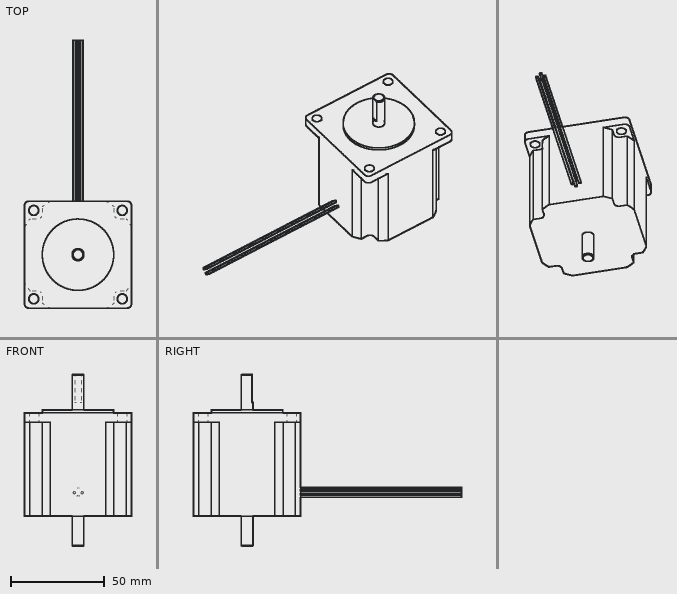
import cadquery as cq
import math

INCH = 25.4

width = 2.25 * INCH
half_width = width / 2
motor_length = 2.17 * INCH
flange_thickness = 0.2 * INCH
flange_corner_radius = 0.1 * INCH
hole_diameter = 0.2 * INCH
hole_spacing = 47.14
boss_diameter = 1.5 * INCH
boss_height = 0.06 * INCH

flat_half_length = 14.8
corner_arc_radius = 1.25 * INCH
relief_wall = 19.15
relief_outer = 25.7
relief_radius = 2.65
cutter_margin = 1.0

shaft_diameter = 0.25 * INCH
front_shaft_length = 0.81 * INCH
rear_shaft_length = 0.63 * INCH
shaft_chamfer = 0.5
shaft_flat_length = 15.0
shaft_flat_depth = 0.5

wire_diameter = 0.05 * INCH
wire_length = 3.375 * INCH
wire_embed = 1.0
wire_pitch = 2.92
wire_offset = wire_pitch / math.sqrt(2)
wire_height = 0.5 * INCH
wire_count = 4

body_height = motor_length - flange_thickness


def corner_cutter():
    """Prism outside the body profile at the +X +Y corner."""
    overshoot = half_width + cutter_margin
    relief_arc_end = relief_wall + relief_radius
    relief_arc_middle = relief_arc_end - relief_radius / math.sqrt(2)

    profile = (
        cq.Workplane("XY")
        .moveTo(half_width, flat_half_length)
        .radiusArc((relief_outer, relief_wall), -corner_arc_radius)
        .lineTo(relief_arc_end, relief_wall)
        .threePointArc((relief_arc_middle, relief_arc_middle), (relief_wall, relief_arc_end))
        .lineTo(relief_wall, relief_outer)
        .radiusArc((flat_half_length, half_width), -corner_arc_radius)
        .lineTo(flat_half_length, overshoot)
        .lineTo(overshoot, overshoot)
        .lineTo(overshoot, flat_half_length)
        .close()
    )
    return profile.extrude(body_height)


def make_body():
    """Square body with a relieved corner beneath each mounting hole."""
    body = cq.Workplane("XY").rect(width, width).extrude(body_height)
    cutter = corner_cutter()
    for quarter in range(4):
        body = body.cut(cutter.rotate((0, 0, 0), (0, 0, 1), 90 * quarter))
    return body


def make_flange():
    """Mounting flange with four through holes and the pilot boss."""
    flange = (
        cq.Workplane("XY")
        .workplane(offset=body_height)
        .rect(width, width)
        .extrude(flange_thickness)
        .edges("|Z")
        .fillet(flange_corner_radius)
        .faces(">Z")
        .workplane()
        .rect(hole_spacing, hole_spacing, forConstruction=True)
        .vertices()
        .hole(hole_diameter)
    )
    boss = (
        cq.Workplane("XY")
        .workplane(offset=motor_length)
        .circle(boss_diameter / 2)
        .extrude(boss_height)
    )
    return flange.union(boss)


def make_shaft():
    """Double-ended shaft, chamfered at both ends, with a flat on the +Y side of the front end."""
    total_length = rear_shaft_length + motor_length + front_shaft_length
    shaft_top = motor_length + front_shaft_length
    shaft = (
        cq.Workplane("XY")
        .workplane(offset=-rear_shaft_length)
        .circle(shaft_diameter / 2)
        .extrude(total_length)
        .faces("<Z or >Z")
        .chamfer(shaft_chamfer)
    )
    flat_cutter = (
        cq.Workplane("XY")
        .box(shaft_diameter, shaft_diameter, shaft_flat_length, centered=(True, False, False))
        .translate((0, shaft_diameter / 2 - shaft_flat_depth, shaft_top - shaft_flat_length))
    )
    return shaft.cut(flat_cutter)


def make_wire(index):
    """One straight lead leaving the +Y face of the body."""
    angle = 2 * math.pi * index / wire_count
    x = wire_offset * math.cos(angle)
    z = wire_height + wire_offset * math.sin(angle)
    start = cq.Vector(x, half_width - wire_embed, z)
    return cq.Solid.makeCylinder(wire_diameter / 2, wire_length + wire_embed, start, cq.Vector(0, 1, 0))


result = make_body().union(make_flange()).union(make_shaft())
for wire_index in range(wire_count):
    result = result.union(make_wire(wire_index))
result = result.clean()